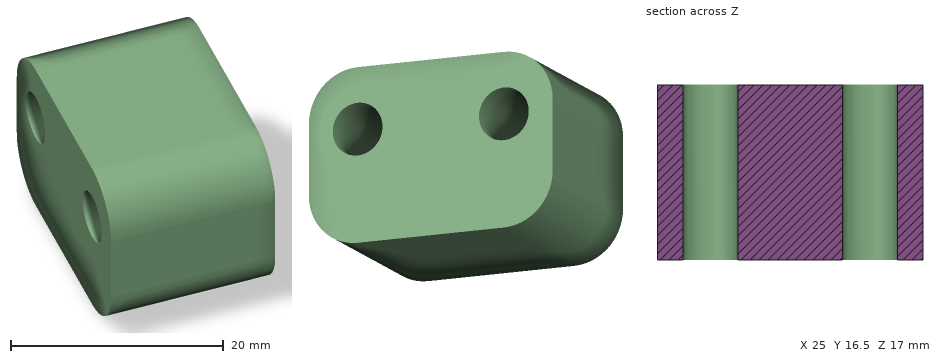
import cadquery as cq

width = 25.0
depth = 16.5
height = 17.0
corner_radius = 5.0

hole_diameter = 5.1
hole_spacing = width - 2 * corner_radius
hole_height = 2.5

block = cq.Workplane("XY").box(width, depth, height).edges("|Y").fillet(corner_radius)

hole_centers = [(side * hole_spacing / 2, hole_height) for side in (-1, 1)]
holes = (
    cq.Workplane("XZ")
    .pushPoints(hole_centers)
    .circle(hole_diameter / 2)
    .extrude(depth / 2, both=True)
)

result = block.cut(holes)